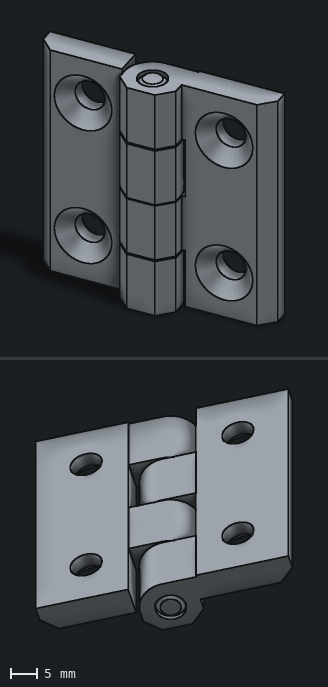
import cadquery as cq
import math

hinge_width = 50.0
hinge_height = 50.0
half_width = hinge_width / 2
half_height = hinge_height / 2

plate_thickness = 6.0
plate_chamfer = 3.0
plate_edge_x = 6.7
back_step = 0.4

knuckle_radius = 6.0
knuckle_front = 5.1
knuckle_chamfer = 3.0
outer_gap = 0.35
middle_gap = 0.2
joint_z = hinge_height / 4

plate_back_y = knuckle_radius + back_step
plate_front_y = plate_back_y - plate_thickness

pin_diameter = 6.0
pin_tip_diameter = 4.0
pin_chamfer = (pin_diameter - pin_tip_diameter) / 2

screw_diameter = 6.25
countersink_diameter = 12.2
countersink_angle = 90.0
screw_x = 15.0
screw_z = 15.0

knuckle_spans = [
    (joint_z + outer_gap / 2, half_height),
    (-joint_z + outer_gap / 2, -middle_gap / 2),
]


def make_plate():
    """Flat plate with its outer front edge chamfered."""
    outline = (
        cq.Workplane("XY", origin=(0, 0, -half_height))
        .moveTo(plate_edge_x, plate_back_y)
        .lineTo(half_width, plate_back_y)
        .lineTo(half_width, plate_front_y + plate_chamfer)
        .lineTo(half_width - plate_chamfer, plate_front_y)
        .lineTo(plate_edge_x, plate_front_y)
        .close()
    )
    return outline.extrude(hinge_height)


def make_knuckle(bottom, top):
    """Knuckle around the pin, with the web that joins it to the plate."""
    arc_mid = knuckle_radius * math.sqrt(0.5)
    flat_half_width = knuckle_radius - knuckle_chamfer
    chamfer_top_y = knuckle_chamfer - knuckle_front
    outline = (
        cq.Workplane("XY", origin=(0, 0, bottom))
        .moveTo(plate_edge_x, knuckle_radius)
        .lineTo(0, knuckle_radius)
        .threePointArc((-arc_mid, arc_mid), (-knuckle_radius, 0))
        .lineTo(-knuckle_radius, chamfer_top_y)
        .lineTo(-flat_half_width, -knuckle_front)
        .lineTo(flat_half_width, -knuckle_front)
        .lineTo(knuckle_radius, chamfer_top_y)
        .lineTo(knuckle_radius, plate_front_y)
        .lineTo(plate_edge_x, plate_front_y)
        .close()
    )
    return outline.extrude(top - bottom)


def cut_screw_holes(leaf):
    """Two through holes, countersunk from the front face of the plate."""
    return (
        leaf.copyWorkplane(cq.Workplane("XZ", origin=(0, plate_front_y, 0)))
        .pushPoints([(screw_x, -screw_z), (screw_x, screw_z)])
        .cskHole(screw_diameter, countersink_diameter, countersink_angle)
    )


def make_pin():
    """Round pin with a chamfer at each end."""
    pin = cq.Workplane("XY").circle(pin_diameter / 2).extrude(half_height, both=True)
    return pin.faces("|Z").chamfer(pin_chamfer)


def make_leaf():
    """Right-hand leaf: plate, two knuckles, pin bore and screw holes."""
    leaf = make_plate()
    for bottom, top in knuckle_spans:
        leaf = leaf.union(make_knuckle(bottom, top))
    pin_bore = cq.Workplane("XY").circle(pin_diameter / 2).extrude(half_height, both=True)
    return cut_screw_holes(leaf.cut(pin_bore))


leaves = []
for turn in (0, 180):
    leaves.append(make_leaf().rotate((0, 0, 0), (0, 1, 0), turn))

pin = make_pin()

result = cq.Compound.makeCompound([*[leaf.val() for leaf in leaves], pin.val()])